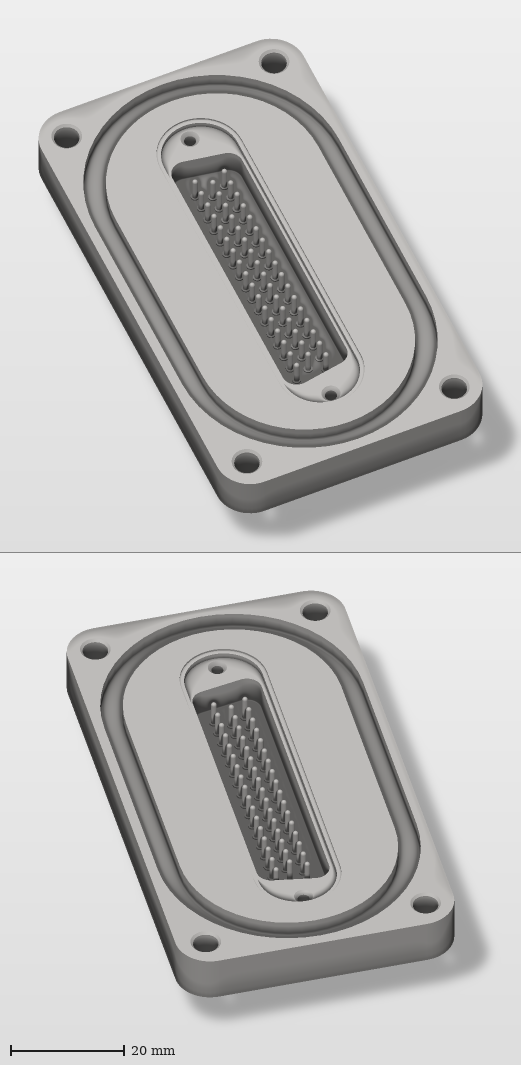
import cadquery as cq
import math

plate_length = 88.9
plate_width = 50.8
plate_thickness = 8.7
plate_corner_radius = 6.3

mount_hole_diameter = 4.5
mount_hole_chamfer = 0.45
chamfer_angle = 90.0
mount_hole_x = 39.1
mount_hole_y = 20.1

groove_outer_length = 85.2
groove_outer_width = 47.3
groove_width = 4.0
groove_depth = 2.9
groove_floor_fillet = 0.4

insert_length = 67.5
insert_width = 15.7
insert_drop = 4.3
rim_width = 0.8
rim_depth = 0.4
recess_depth = 1.4

flange_thickness = 0.8
flange_half_width = 6.1
flange_end_radius = 2.4
flange_shoulder_x = (insert_length - insert_width) / 2

d_side_angle = 10.0
shell_height = 2.05
shell_mid_width = 54.05
shell_depth_y = 13.5
shell_corner_radius = 3.8
cavity_mid_width = 51.9
cavity_depth_y = 12.9
cavity_offset_y = 0.1
cavity_corner_radius = 2.7
cavity_depth = 5.2
cavity_floor_fillet = 0.2

screw_x = 30.6
screw_hole_diameter = 2.1
screw_sink_diameter = 3.4
screw_hole_depth = 3.6
drill_point_angle = 118.0

pin_diameter = 1.0
pin_height = 5.0
pin_collar_diameter = 1.6
pin_collar_height = 0.3
pin_pitch = 2.8
row_pitch = 2.85
row_pin_counts = (17, 16, 17)

plate_bottom = -plate_thickness
insert_bottom = plate_bottom - insert_drop
recess_floor = -recess_depth
cavity_floor = recess_floor - cavity_depth


def stadium(length, width, top, height):
    """Solid with a stadium outline, reaching down by height from top."""
    return cq.Workplane("XY").workplane(offset=top).slot2D(length, width).extrude(-height)


def d_prism(mid_width, depth_y, corner_radius, top, height):
    """Rounded trapezoid prism, wider on its -Y side."""
    half_y = depth_y / 2
    taper = half_y * math.tan(math.radians(d_side_angle))
    wide = mid_width / 2 + taper
    narrow = mid_width / 2 - taper
    return (
        cq.Workplane("XY")
        .workplane(offset=top)
        .polyline([(-wide, -half_y), (wide, -half_y), (narrow, half_y), (-narrow, half_y)])
        .close()
        .extrude(-height)
        .edges("|Z")
        .fillet(corner_radius)
    )


def make_groove():
    inner_length = groove_outer_length - 2 * groove_width
    inner_width = groove_outer_width - 2 * groove_width
    ring = stadium(groove_outer_length, groove_outer_width, 0, groove_depth)
    ring = ring.cut(stadium(inner_length, inner_width, 0, groove_depth))
    return ring.faces("<Z").edges().fillet(groove_floor_fillet)


def make_plate():
    plate = (
        cq.Workplane("XY")
        .rect(plate_length, plate_width)
        .extrude(-plate_thickness)
        .edges("|Z")
        .fillet(plate_corner_radius)
        .faces(">Z")
        .workplane()
        .rect(2 * mount_hole_x, 2 * mount_hole_y, forConstruction=True)
        .vertices()
        .cskHole(mount_hole_diameter, mount_hole_diameter + 2 * mount_hole_chamfer, chamfer_angle)
    )
    window = stadium(insert_length, insert_width, 0, plate_thickness)
    return plate.cut(make_groove()).cut(window)


def make_flange():
    """Plate with tapered ends, each rounded about its screw hole."""
    run = screw_x - flange_shoulder_x
    reach = math.hypot(run, flange_half_width)
    normal_angle = math.atan2(flange_half_width, -run) - math.acos(flange_end_radius / reach)
    tangent_x = screw_x + flange_end_radius * math.cos(normal_angle)
    tangent_y = flange_end_radius * math.sin(normal_angle)
    tip_x = screw_x + flange_end_radius
    return (
        cq.Workplane("XY")
        .workplane(offset=insert_bottom)
        .moveTo(-flange_shoulder_x, flange_half_width)
        .lineTo(flange_shoulder_x, flange_half_width)
        .lineTo(tangent_x, tangent_y)
        .threePointArc((tip_x, 0), (tangent_x, -tangent_y))
        .lineTo(flange_shoulder_x, -flange_half_width)
        .lineTo(-flange_shoulder_x, -flange_half_width)
        .lineTo(-tangent_x, -tangent_y)
        .threePointArc((-tip_x, 0), (-tangent_x, tangent_y))
        .close()
        .extrude(-flange_thickness)
    )


def make_screw_hole(x):
    """Countersunk blind hole with a conical drill point."""
    radius = screw_hole_diameter / 2
    sink_radius = screw_sink_diameter / 2
    point_depth = radius / math.tan(math.radians(drill_point_angle / 2))
    profile = [
        (0, 0),
        (sink_radius, 0),
        (radius, radius - sink_radius),
        (radius, -screw_hole_depth),
        (0, -screw_hole_depth - point_depth),
    ]
    hole = cq.Workplane("XZ").polyline(profile).close().revolve(360, (0, 0), (0, 1))
    return hole.translate((x, 0, recess_floor))


def make_pin():
    """Round-tipped pin with a low collar at its foot; the foot stands on Z = 0."""
    pin_radius = pin_diameter / 2
    collar_radius = pin_collar_diameter / 2
    shoulder_z = pin_height - pin_radius
    arc_middle = pin_radius * math.sqrt(0.5)
    return (
        cq.Workplane("XZ")
        .lineTo(collar_radius, 0)
        .lineTo(collar_radius, pin_collar_height)
        .lineTo(pin_radius, pin_collar_height)
        .lineTo(pin_radius, shoulder_z)
        .threePointArc((arc_middle, shoulder_z + arc_middle), (0, pin_height))
        .close()
        .revolve(360, (0, 0), (0, 1))
        .val()
    )


def make_pins():
    pin = make_pin()
    row_centre = (len(row_pin_counts) - 1) / 2
    points = []
    for row, count in enumerate(row_pin_counts):
        y = row_pitch * (row_centre - row)
        for column in range(count):
            points.append((pin_pitch * (column - (count - 1) / 2), y))
    return (
        cq.Workplane("XY")
        .workplane(offset=cavity_floor)
        .pushPoints(points)
        .eachpoint(pin, combine=False)
    )


def make_insert():
    body = stadium(insert_length, insert_width, -rim_depth, -insert_bottom - rim_depth)
    recess = stadium(insert_length - 2 * rim_width, insert_width - 2 * rim_width, 0, recess_depth)
    shell = d_prism(shell_mid_width, shell_depth_y, shell_corner_radius, insert_bottom, shell_height)
    insert = body.cut(recess).union(make_flange()).union(shell)

    cavity = d_prism(cavity_mid_width, cavity_depth_y, cavity_corner_radius, recess_floor, cavity_depth)
    cavity = cavity.faces("<Z").edges().fillet(cavity_floor_fillet)
    insert = insert.cut(cavity.translate((0, cavity_offset_y, 0)))
    for x in (-screw_x, screw_x):
        insert = insert.cut(make_screw_hole(x))
    return insert.union(make_pins())


result = make_plate().union(make_insert())